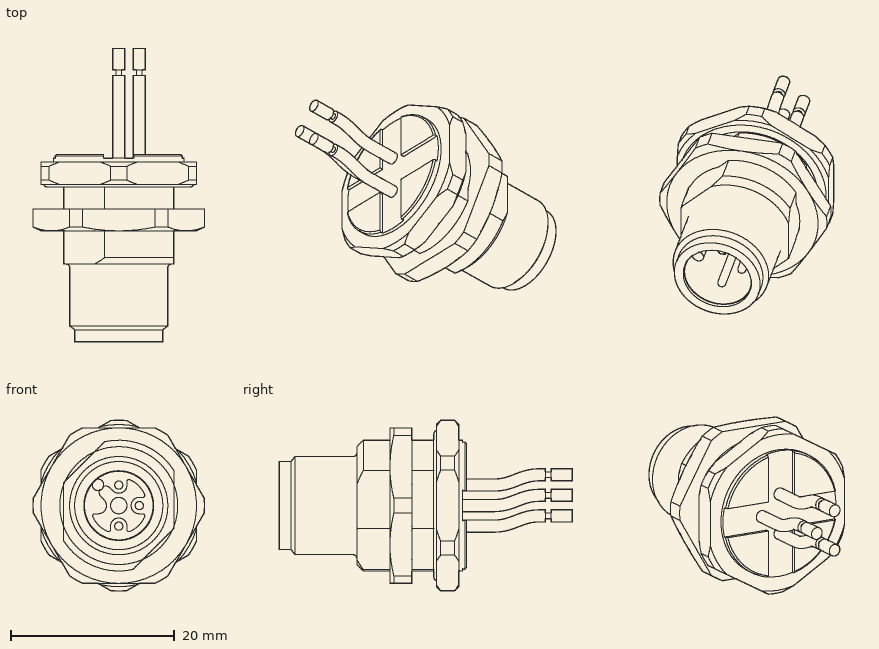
import cadquery as cq
import math


nose_end_y = 1.47
barrel_start_y = 1.95
barrel_end_y = 9.05
body_front_y = 9.5
nut_front_y = 13.55
nut_back_y = 16.25
flange_front_y = 19.2
flange_back_y = 21.98
rim_back_y = 22.9
bend_start_y = 26.3
bend_end_y = 31.75
jacket_end_y = 32.55
tip_start_y = 33.25
tip_end_y = 35.85

nose_r = 10.8 / 2
barrel_r = 12.0 / 2
body_r = 16.0 / 2
body_chamfer = 0.8
flat_offset = 6.75
flat_angles = (0, 135, 180, 315)
rim_chamfer = 0.2
slot_width = 3.7
slot_depth = 0.45

hex_across_flats = 19.0
nut_corner_d = 20.97
nut_chamfer_length = 0.45
nut_bore_d = 14.4
flange_corner_d = 20.9
flange_chamfer = 0.55

seal_centre_r = 8.68
seal_section_r = 0.57
seal_protrusion = 0.32

socket_r = 8.4 / 2
socket_depth = 8.95
mouth_widening = 0.07
mouth_length = 0.45
floor_fillet = 0.32
pin_r = 1.0 / 2
pin_tip_y = 2.0
pin_circle_r = 2.5
key_d = 1.4
key_radius = 3.6
key_angle = 135
key_front_y = 0.57
wire_d = 1.5
core_d = 0.7
wire_rise = 1.25

recess_r = 3.45
recess_depth = 0.3
hub_d = 2.0
pin_island_r = 2.0 / 2
recess_fillet = 0.2
recess_corner_r = 0.25
lobe_end_r = 2.3

contact_angles = (0, 90, 180, 270)
wired_angles = (0, 90, 270)


def polar(radius, angle):
    """X and Z of a point at the given radius and angle about the axis."""
    return (radius * math.cos(math.radians(angle)), radius * math.sin(math.radians(angle)))


def cross_section(y):
    """Workplane square to the axis; negative extrusions run toward the wires."""
    return cq.Workplane("XZ", origin=(0, y, 0))


def cylinder(start_y, end_y, diameter, centre=(0, 0)):
    return cross_section(start_y).center(*centre).circle(diameter / 2).extrude(start_y - end_y)


def revolved(outline):
    """Turn a closed (radius, y) outline about the axis."""
    return cq.Workplane("XY").polyline(outline).close().revolve(360, (0, 0), (0, 1))


def hexagon(start_y, end_y, turn):
    corner_d = hex_across_flats / math.cos(math.pi / 6)
    prism = cross_section(start_y).polygon(6, corner_d).extrude(start_y - end_y)
    return prism.rotate((0, 0, 0), (0, 1, 0), turn)


def make_barrel():
    flare = body_front_y - barrel_end_y
    flare_r = barrel_r + flare
    return (
        cq.Workplane("XY")
        .lineTo(nose_r, 0)
        .lineTo(nose_r, nose_end_y)
        .lineTo(barrel_r, barrel_start_y)
        .lineTo(barrel_r, barrel_end_y)
        .radiusArc((flare_r, body_front_y), flare)
        .lineTo(0, body_front_y)
        .close()
        .revolve(360, (0, 0), (0, 1))
    )


def make_body():
    """Threaded body with two pairs of parallel flats."""
    body = cylinder(body_front_y, flange_front_y, 2 * body_r)
    body = body.faces("<Y").chamfer(body_chamfer)
    length = flange_front_y - body_front_y
    for angle in flat_angles:
        cutter = (
            cross_section(body_front_y)
            .center(flat_offset + body_r / 2, 0)
            .rect(body_r, 2 * body_r)
            .extrude(-length)
            .rotate((0, 0, 0), (0, 1, 0), -angle)
        )
        body = body.cut(cutter)
    return body


def make_nut():
    """Hexagonal nut, corners toward X, with its front edge bevelled."""
    envelope = revolved([
        (0, nut_front_y),
        (hex_across_flats / 2, nut_front_y),
        (nut_corner_d / 2, nut_front_y + nut_chamfer_length),
        (nut_corner_d / 2, nut_back_y),
        (0, nut_back_y),
    ])
    bore = cylinder(nut_front_y, nut_back_y, nut_bore_d)
    return hexagon(nut_front_y, nut_back_y, 0).intersect(envelope).cut(bore)


def make_flange():
    """Hexagonal flange, corners toward Z, with a slotted round rim behind it."""
    envelope = cylinder(flange_front_y, flange_back_y, flange_corner_d).edges().chamfer(flange_chamfer)
    flange = hexagon(flange_front_y, flange_back_y, 90).intersect(envelope)
    rim = cylinder(flange_back_y, rim_back_y, 2 * body_r).faces(">Y").chamfer(rim_chamfer)
    slot_start_y = rim_back_y - slot_depth
    for width, height in ((slot_width, 2 * body_r), (2 * body_r, slot_width)):
        rim = rim.cut(cross_section(slot_start_y).rect(width, height).extrude(-slot_depth))
    return flange.union(rim)


def make_seal():
    centre_y = flange_front_y - seal_protrusion + seal_section_r
    return (
        cq.Workplane("XY")
        .center(seal_centre_r, centre_y)
        .circle(seal_section_r)
        .revolve(360, (-seal_centre_r, 0), (-seal_centre_r, 1))
    )


def make_socket():
    """Socket volume: counterbored mouth, rounded floor, less the keying rib."""
    bore = cylinder(0, socket_depth, 2 * socket_r).faces(">Y").edges().fillet(floor_fillet)
    mouth = cylinder(0, mouth_length, 2 * (socket_r + mouth_widening))
    key = cylinder(key_front_y, socket_depth, key_d, polar(key_radius, key_angle))
    return bore.union(mouth).cut(key)


def make_contact_island(angle):
    """Round-nosed land around one contact, open toward the socket wall."""
    outer_x = recess_r + pin_island_r
    return (
        cross_section(socket_depth)
        .moveTo(outer_x, pin_island_r)
        .lineTo(pin_circle_r, pin_island_r)
        .radiusArc((pin_circle_r, -pin_island_r), -pin_island_r)
        .lineTo(outer_x, -pin_island_r)
        .close()
        .extrude(-recess_depth)
        .rotate((0, 0, 0), (0, 1, 0), -angle)
    )


def make_key_island():
    """Land beneath the key, with a round-ended lobe left open between its neighbours."""
    start_x = pin_circle_r * math.cos(math.pi / 4)
    lobe_half_width = start_x - pin_island_r
    lobe_length = lobe_end_r + lobe_half_width
    land = (
        cross_section(socket_depth)
        .center(start_x + recess_r / 2, 0)
        .rect(recess_r, 2 * start_x)
        .extrude(-recess_depth)
    )
    lobe = (
        cross_section(socket_depth)
        .center(lobe_length / 2, 0)
        .slot2D(lobe_length, 2 * lobe_half_width)
        .extrude(-recess_depth)
    )
    return land.cut(lobe).rotate((0, 0, 0), (0, 1, 0), -key_angle)


def is_on_recess_rim(edge):
    centre = edge.Center()
    return math.isclose(math.hypot(centre.x, centre.z), recess_r, rel_tol=1e-4)


def make_floor_recess():
    """Recess volume around the hub, leaving lands for the contacts and the key."""
    bottom_y = socket_depth + recess_depth
    recess = cylinder(socket_depth, bottom_y, 2 * recess_r)
    recess = recess.cut(cylinder(socket_depth, bottom_y, hub_d))
    recess = recess.cut(make_key_island())
    for angle in contact_angles:
        recess = recess.cut(make_contact_island(angle))
    recess = recess.edges("|Y").filter(is_on_recess_rim).fillet(recess_corner_r)
    return recess.faces(">Y").edges().fillet(recess_fillet)


def make_pin(angle):
    """Round-ended contact pin standing on the socket floor."""
    x, z = polar(pin_circle_r, angle)
    dome_y = pin_tip_y + pin_r
    shank = cylinder(dome_y, socket_depth + recess_depth, 2 * pin_r, (x, z))
    dome = cq.Workplane("XY").sphere(pin_r).translate((x, dome_y, z))
    return shank.union(dome)


def make_wire(angle):
    """Straight root, S-bend toward +Z, bare core and crimped tip."""
    x, z = polar(pin_circle_r, angle)
    raised = (x, z + wire_rise)
    root_y = rim_back_y - slot_depth
    path = (
        cq.Workplane("YZ", origin=(x, 0, 0))
        .moveTo(bend_start_y, z)
        .spline([(bend_end_y, z + wire_rise)], tangents=[(1, 0), (1, 0)], includeCurrent=True)
    )
    bend = cross_section(bend_start_y).center(x, z).circle(wire_d / 2).sweep(path)
    return (
        cylinder(root_y, bend_start_y, wire_d, (x, z))
        .union(bend)
        .union(cylinder(bend_end_y, jacket_end_y, wire_d, raised))
        .union(cylinder(jacket_end_y, tip_start_y, core_d, raised))
        .union(cylinder(tip_start_y, tip_end_y, wire_d, raised))
    )


result = make_barrel().union(make_body()).union(make_flange()).union(make_seal()).union(make_nut())
result = result.cut(make_socket()).cut(make_floor_recess())
for contact_angle in wired_angles:
    result = result.union(make_pin(contact_angle)).union(make_wire(contact_angle))